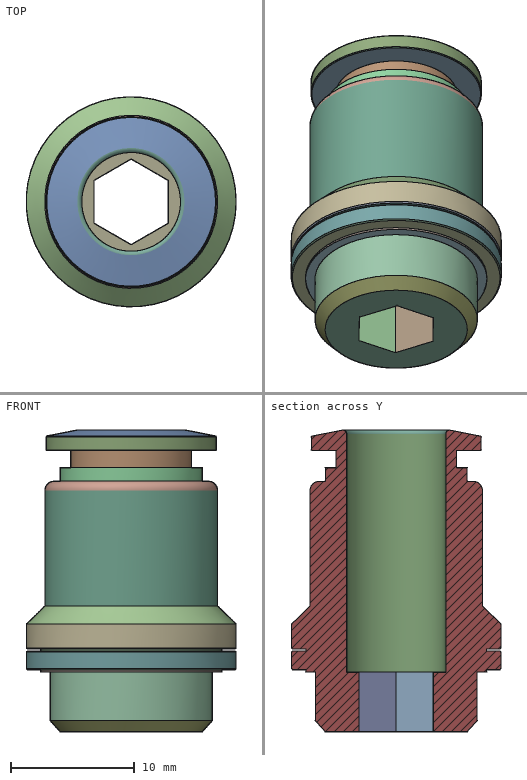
import cadquery as cq
import math

height = 24.45

spigot_radius = 13.15 / 2
spigot_end_radius = 11.5 / 2
spigot_chamfer_height = 0.9
spigot_top = 4.85

flange_radius = 17.0 / 2
groove_radius = 14.7 / 2
lip_height = 0.17
lower_flange_bottom = spigot_top + lip_height
lower_flange_top = 6.55
groove_width = 0.15
upper_flange_bottom = lower_flange_top + groove_width
flange_chamfer = 0.1
flange_shoulder_bottom = 8.73
flange_shoulder_top = 10.2

body_radius = 14.0 / 2
body_top = 20.29
body_fillet = 0.75

sleeve_ring_radius = 11.5 / 2
sleeve_ring_top = 21.38
neck_radius = 9.8 / 2
collar_radius = 13.8 / 2
collar_bottom = 22.75
collar_edge_height = 23.95
collar_chamfer = 0.07

bore_radius = 8.0 / 2
bore_rim_round = 0.35
bore_floor = spigot_top
hex_across_flats = 6.0


def make_outer_body():
    """Revolve the stepped outer profile about Z."""
    arc_offset = body_fillet * (1 - math.sqrt(0.5))
    profile = (
        cq.Workplane("XZ")
        .moveTo(0, 0)
        .lineTo(spigot_end_radius, 0)
        .lineTo(spigot_radius, spigot_chamfer_height)
        .lineTo(spigot_radius, spigot_top)
        .lineTo(groove_radius, spigot_top)
        .lineTo(groove_radius, lower_flange_bottom)
        .lineTo(flange_radius - flange_chamfer, lower_flange_bottom)
        .lineTo(flange_radius, lower_flange_bottom + flange_chamfer)
        .lineTo(flange_radius, lower_flange_top - flange_chamfer)
        .lineTo(flange_radius - flange_chamfer, lower_flange_top)
        .lineTo(groove_radius, lower_flange_top)
        .lineTo(groove_radius, upper_flange_bottom)
        .lineTo(flange_radius - flange_chamfer, upper_flange_bottom)
        .lineTo(flange_radius, upper_flange_bottom + flange_chamfer)
        .lineTo(flange_radius, flange_shoulder_bottom)
        .lineTo(body_radius, flange_shoulder_top)
        .lineTo(body_radius, body_top - body_fillet)
        .threePointArc(
            (body_radius - arc_offset, body_top - arc_offset),
            (body_radius - body_fillet, body_top),
        )
        .lineTo(sleeve_ring_radius, body_top)
        .lineTo(sleeve_ring_radius, sleeve_ring_top)
        .lineTo(neck_radius, sleeve_ring_top)
        .lineTo(neck_radius, collar_bottom)
        .lineTo(collar_radius - collar_chamfer, collar_bottom)
        .lineTo(collar_radius, collar_bottom + collar_chamfer)
        .lineTo(collar_radius, collar_edge_height - collar_chamfer)
        .lineTo(collar_radius - collar_chamfer, collar_edge_height)
        .lineTo(bore_radius + bore_rim_round, height)
        .lineTo(0, height)
        .close()
    )
    return profile.revolve(360, (0, 0), (0, 1))


def make_bore():
    """Round bore from the top, flaring out through a rounded rim."""
    arc_offset = bore_rim_round * (1 - math.sqrt(0.5))
    profile = (
        cq.Workplane("XZ")
        .moveTo(0, bore_floor)
        .lineTo(bore_radius, bore_floor)
        .lineTo(bore_radius, height - bore_rim_round)
        .threePointArc(
            (bore_radius + arc_offset, height - arc_offset),
            (bore_radius + bore_rim_round, height),
        )
        .lineTo(0, height)
        .close()
    )
    return profile.revolve(360, (0, 0), (0, 1))


def make_hex_hole():
    """Hexagonal hole through the bore floor, with corners on the Y axis."""
    across_corners = hex_across_flats / math.cos(math.pi / 6)
    return (
        cq.Workplane("XY")
        .transformed(rotate=(0, 0, 90))
        .polygon(6, across_corners)
        .extrude(bore_floor)
    )


result = make_outer_body().cut(make_bore()).cut(make_hex_hole())